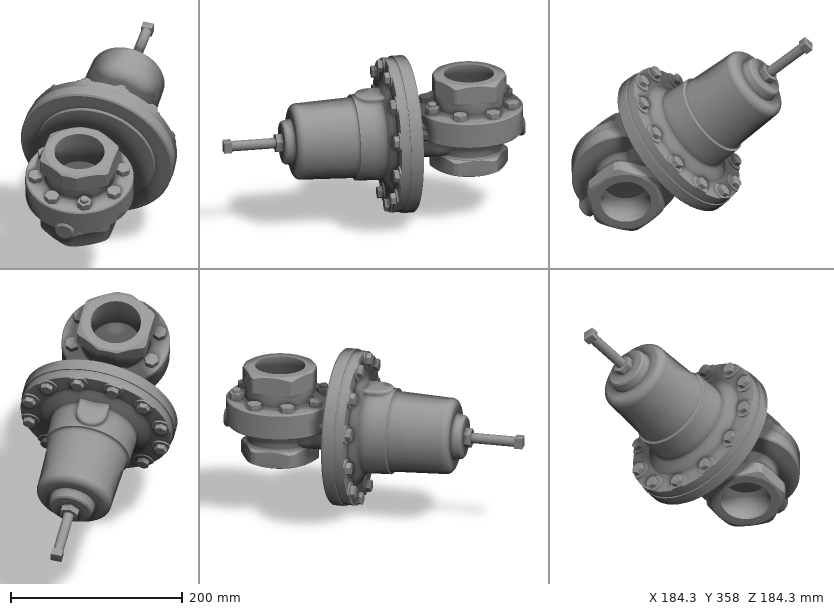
import cadquery as cq
import math


OVERALL_LENGTH = 358.0
BOSS_END_Y = -66.0
STEM_END_Y = BOSS_END_Y + OVERALL_LENGTH

SCREW_DIAMETER = 12.0
SCREW_HEAD_SIDE = 13.0
SCREW_HEAD_LENGTH = 9.3
JAM_NUT_RADIUS = 11.8
JAM_NUT_ANGLE = 7.0
CAP_END_Y = 222.5
JAM_NUT_END_Y = CAP_END_Y + 8.0
CAP_TOP_RADIUS = 25.5
CAP_BASE_RADIUS = 27.5
CAP_EDGE = 1.8
SHOULDER_Y = 211.0
SHOULDER_FLAT_RADIUS = 38.0
CASE_TOP_RADIUS = 44.7
CASE_TOP_Y = 202.0
CASE_BOTTOM_RADIUS = 47.2
SKIRT_Y = 138.0
SKIRT_TOP_RADIUS = 50.5
SKIRT_BOTTOM_RADIUS = 51.5
STEP_BLEND = 2.0
SKIRT_FOOT_Y = 107.0
SKIRT_FILLET = 1.5
SKIRT_FILLET_RADIUS = 2.0
FOOT_RADIUS = 66.5

COVER_FLANGE_RADIUS = 90.5
COVER_FACE_Y = 97.5
FLANGE_SPLIT_Y = 86.2
MAIN_FLANGE_RADIUS = 184.3 / 2
MAIN_FACE_Y = 71.2
MAIN_FLANGE_EDGE = 1.8
RAISED_FACE_RADIUS = 71.5
RAISED_FACE_Y = 68.0
RAISED_FACE_EDGE = 1.0

COVER_BOLT_COUNT = 12
COVER_BOLT_CIRCLE = 82.0
PAD_RADIUS = 11.5
PAD_HEIGHT = 1.8
COVER_BOLT_HEIGHT = 5.7
COVER_BOLT_HEX_RADIUS = 7.5

VENT_HALF_WIDTH = 18.3
VENT_TOP_Z = 54.5
VENT_ARCH_Y = 118.0
VENT_EDGE = 3.5
VENT_FILLET = 1.8

HEX_APOTHEM = 41.5
HEX_END_RADIUS = 39.7
INLET_HEX_TURNED_RADIUS = 47.0
OUTLET_HEX_TURNED_RADIUS = 46.0
HEX_CHAMFER_SLOPE = 0.5
INLET_TOP_Z = 69.8
INLET_HEX_BOTTOM_Z = 48.0
INLET_BACK_FLAT_Y = 41.5
INLET_FRONT_FLAT_Y = -43.0
INLET_NECK_RADIUS = 41.0
OUTLET_BOTTOM_Z = -44.5
OUTLET_HEX_TOP_Z = -23.0
BODY_RADIUS = 38.3
BODY_FLARE = 2.5
BODY_FLANGE_RADIUS = 63.5
BODY_FLANGE_TOP_Z = 31.0
BODY_FLANGE_SPLIT_Z = 19.0
BODY_FLANGE_STEP = 0.5
BODY_FLANGE_BOTTOM_Z = -0.5
BODY_FLANGE_EDGE = 1.5
BODY_FILLET = 1.8

PORT_MOUTH_RADIUS = 29.5
PORT_RADIUS = 29.0
PORT_TAPER_DEPTH = 23.3
PORT_DEPTH = 44.5

BODY_BOLT_COUNT = 8
BODY_BOLT_CIRCLE = 51.5
BODY_BOLT_HEIGHT = 7.0
BODY_BOLT_HEX_RADIUS = 8.5
BODY_NUT_HEIGHT = 8.2
STUD_RADIUS = 5.0
STUD_TOP_Z = 44.0
STUD_CHAMFER = 1.0

BOLT_CHAMFER_SLOPE = 0.6
BOLT_TURN = 15.0

STOP_HALF_WIDTH = 7.5
STOP_TOE_Y = 50.8
STOP_TOP_Y = 40.8
STOP_TOP_Z = 39.5

NECK_HALF_WIDTH = 27.5
NECK_TOP_Z = 21.0
NECK_BOTTOM_Z = -24.5
NECK_TOP_FILLET = 6.5
NECK_BOTTOM_FILLET = 13.2
LEDGE_HALF_WIDTH = 33.0
LEDGE_TOP_Z = 12.5
LEDGE_BEVEL = 3.2

BOSS_RADIUS = 11.5
BOSS_EDGE = 1.8

OVERLAP = 1.5
PICK_MARGIN = 0.18

COS45 = math.cos(math.radians(45))


def hex_prism(corner_radius, height, angle):
    """Hexagonal prism on the XY plane with one corner at the given angle."""
    prism = cq.Workplane("XY").polygon(6, 2 * corner_radius).extrude(height)
    return prism.rotate((0, 0, 0), (0, 0, 1), angle)


def chamfer_cone(flat_radius, outer_radius, slope, height):
    """Cylinder whose top edge is cut back to flat_radius at the given slope."""
    drop = (outer_radius - flat_radius) * slope
    profile = cq.Workplane("XZ").polyline(
        [(0, 0), (outer_radius, 0), (outer_radius, height - drop), (flat_radius, height), (0, height)]
    ).close()
    return profile.revolve(360, (0, 0, 0), (0, 1, 0))


def bolt_head(corner_radius, height, angle):
    """Hex head sunk by OVERLAP below z = 0, with a chamfered top."""
    total = height + OVERLAP
    inscribed = corner_radius * math.cos(math.radians(30))
    envelope = chamfer_cone(inscribed, corner_radius, BOLT_CHAMFER_SLOPE, total)
    head = hex_prism(corner_radius, total, angle).intersect(envelope)
    return head.translate((0, 0, -OVERLAP))


def bolt_angles(count):
    """Evenly spaced angles that straddle the +X direction."""
    step = 360.0 / count
    return [(i + 0.5) * step for i in range(count)]


def on_circle(shape, radius, angle, height):
    """Shift a shape out to radius, turn it to angle and lift it to height."""
    return shape.translate((radius, 0, height)).rotate((0, 0, 0), (0, 0, 1), angle)


def z_to_y(shape):
    """Turn a shape built along +Z so that it lies along +Y."""
    return shape.rotate((0, 0, 0), (1, 0, 0), -90)


def make_actuator():
    """Cap, spring case, skirt and both diaphragm flanges as one turned shape."""
    shoulder_mid = (
        SHOULDER_FLAT_RADIUS + (CASE_TOP_RADIUS - SHOULDER_FLAT_RADIUS) * COS45,
        CASE_TOP_Y + (SHOULDER_Y - CASE_TOP_Y) * COS45,
    )
    step_mid = (
        CASE_BOTTOM_RADIUS + STEP_BLEND * (1 - COS45),
        SKIRT_Y + STEP_BLEND * (1 - COS45),
    )
    profile = (
        cq.Workplane("XY")
        .moveTo(0, RAISED_FACE_Y)
        .lineTo(RAISED_FACE_RADIUS - RAISED_FACE_EDGE, RAISED_FACE_Y)
        .lineTo(RAISED_FACE_RADIUS, RAISED_FACE_Y + RAISED_FACE_EDGE)
        .lineTo(RAISED_FACE_RADIUS, MAIN_FACE_Y)
        .lineTo(MAIN_FLANGE_RADIUS - MAIN_FLANGE_EDGE, MAIN_FACE_Y)
        .lineTo(MAIN_FLANGE_RADIUS, MAIN_FACE_Y + MAIN_FLANGE_EDGE)
        .lineTo(MAIN_FLANGE_RADIUS, FLANGE_SPLIT_Y)
        .lineTo(COVER_FLANGE_RADIUS, FLANGE_SPLIT_Y)
        .lineTo(COVER_FLANGE_RADIUS, COVER_FACE_Y)
        .lineTo(FOOT_RADIUS, COVER_FACE_Y)
        .lineTo(SKIRT_BOTTOM_RADIUS + SKIRT_FILLET, SKIRT_FOOT_Y - SKIRT_FILLET)
        .radiusArc((SKIRT_BOTTOM_RADIUS, SKIRT_FOOT_Y), SKIRT_FILLET_RADIUS)
        .lineTo(SKIRT_TOP_RADIUS, SKIRT_Y)
        .lineTo(CASE_BOTTOM_RADIUS + STEP_BLEND, SKIRT_Y)
        .threePointArc(step_mid, (CASE_BOTTOM_RADIUS, SKIRT_Y + STEP_BLEND))
        .lineTo(CASE_TOP_RADIUS, CASE_TOP_Y)
        .threePointArc(shoulder_mid, (SHOULDER_FLAT_RADIUS, SHOULDER_Y))
        .lineTo(CAP_BASE_RADIUS, SHOULDER_Y)
        .lineTo(CAP_TOP_RADIUS, CAP_END_Y - CAP_EDGE)
        .lineTo(CAP_TOP_RADIUS - CAP_EDGE, CAP_END_Y)
        .lineTo(0, CAP_END_Y)
        .close()
    )
    return profile.revolve(360, (0, 0, 0), (0, 1, 0))


def make_adjusting_screw():
    """Jam nut, round screw and square head at the outer end."""
    start = CAP_END_Y - OVERLAP
    head_start = STEM_END_Y - SCREW_HEAD_LENGTH
    screw = cq.Workplane("XY").circle(SCREW_DIAMETER / 2).extrude(STEM_END_Y - start)
    nut = hex_prism(JAM_NUT_RADIUS, JAM_NUT_END_Y - start, 90 - JAM_NUT_ANGLE)
    head = (
        cq.Workplane("XY", origin=(0, 0, head_start - start))
        .rect(SCREW_HEAD_SIDE, SCREW_HEAD_SIDE)
        .extrude(SCREW_HEAD_LENGTH)
    )
    return z_to_y(screw.union(nut).union(head)).translate((0, start, 0))


def make_cover_bolts():
    """Bolt heads on round pads; the pads are trimmed to the cover flange."""
    pad = cq.Workplane("XY").circle(PAD_RADIUS).extrude(PAD_HEIGHT, both=True)
    pads = cq.Workplane("XY")
    heads = cq.Workplane("XY")
    for angle in bolt_angles(COVER_BOLT_COUNT):
        pads = pads.union(on_circle(pad, COVER_BOLT_CIRCLE, angle, 0))
        head = bolt_head(COVER_BOLT_HEX_RADIUS, COVER_BOLT_HEIGHT, BOLT_TURN)
        heads = heads.union(on_circle(head, COVER_BOLT_CIRCLE, angle, PAD_HEIGHT))
    flange_rim = cq.Workplane("XY").circle(COVER_FLANGE_RADIUS).extrude(PAD_HEIGHT, both=True)
    return z_to_y(pads.intersect(flange_rim).union(heads)).translate((0, COVER_FACE_Y, 0))


def add_vent_pad(actuator):
    """Add a flat-topped arched pad on the +Z side of the skirt, blended into it."""
    pad = (
        cq.Workplane("XY")
        .moveTo(-VENT_HALF_WIDTH, COVER_FACE_Y)
        .lineTo(VENT_HALF_WIDTH, COVER_FACE_Y)
        .lineTo(VENT_HALF_WIDTH, VENT_ARCH_Y)
        .threePointArc((0, VENT_ARCH_Y + VENT_HALF_WIDTH), (-VENT_HALF_WIDTH, VENT_ARCH_Y))
        .close()
        .extrude(VENT_TOP_Z)
    )
    pad = pad.faces(">Z").edges("not <Y").fillet(VENT_EDGE)
    reach = VENT_HALF_WIDTH + PICK_MARGIN
    foot_zone = cq.selectors.BoxSelector(
        (-reach, SKIRT_FOOT_Y - PICK_MARGIN, 0),
        (reach, SKIRT_Y - PICK_MARGIN, VENT_TOP_Z - VENT_EDGE - PICK_MARGIN),
        boundingbox=True,
    )
    return actuator.union(pad).edges(foot_zone).fillet(VENT_FILLET)


def make_port_hex(turned_radius, height):
    """Wrench hexagon on z = 0, flats facing +X and -X, top end chamfered."""
    corner_radius = HEX_APOTHEM / math.cos(math.radians(30))
    envelope = chamfer_cone(HEX_END_RADIUS, turned_radius, HEX_CHAMFER_SLOPE, height)
    return hex_prism(corner_radius, height, 30).intersect(envelope)


def make_inlet_hex():
    """Inlet hexagon with its front and back corners milled flat."""
    height = INLET_TOP_Z - INLET_HEX_BOTTOM_Z
    flats_width = INLET_BACK_FLAT_Y - INLET_FRONT_FLAT_Y
    flats_centre = (INLET_BACK_FLAT_Y + INLET_FRONT_FLAT_Y) / 2
    corner_flats = cq.Workplane("XY").box(2 * HEX_APOTHEM, flats_width, height, centered=(True, True, False))
    corner_flats = corner_flats.translate((0, flats_centre, 0))
    inlet_hex = make_port_hex(INLET_HEX_TURNED_RADIUS, height).intersect(corner_flats)
    return inlet_hex.translate((0, 0, INLET_HEX_BOTTOM_Z))


def make_outlet_hex():
    """Outlet hexagon, chamfered on both ends."""
    height = OUTLET_HEX_TOP_Z - OUTLET_BOTTOM_Z
    upright = make_port_hex(OUTLET_HEX_TURNED_RADIUS, height)
    inverted = upright.rotate((0, 0, 0), (1, 0, 0), 180).translate((0, 0, height))
    return upright.intersect(inverted).translate((0, 0, OUTLET_BOTTOM_Z))


def make_valve_body():
    """Turned body: outlet barrel, bolted flange pair and inlet neck."""
    lower_radius = BODY_FLANGE_RADIUS - BODY_FLANGE_STEP
    profile = (
        cq.Workplane("XZ")
        .moveTo(0, OUTLET_HEX_TOP_Z - OVERLAP)
        .lineTo(BODY_RADIUS + BODY_FLARE, OUTLET_HEX_TOP_Z - OVERLAP)
        .lineTo(BODY_RADIUS + BODY_FLARE, OUTLET_HEX_TOP_Z)
        .radiusArc((BODY_RADIUS, OUTLET_HEX_TOP_Z + BODY_FLARE), BODY_FLARE)
        .lineTo(BODY_RADIUS, BODY_FLANGE_BOTTOM_Z - BODY_FILLET)
        .radiusArc((BODY_RADIUS + BODY_FILLET, BODY_FLANGE_BOTTOM_Z), BODY_FILLET)
        .lineTo(lower_radius - BODY_FLANGE_EDGE, BODY_FLANGE_BOTTOM_Z)
        .lineTo(lower_radius, BODY_FLANGE_BOTTOM_Z + BODY_FLANGE_EDGE)
        .lineTo(lower_radius, BODY_FLANGE_SPLIT_Z)
        .lineTo(BODY_FLANGE_RADIUS, BODY_FLANGE_SPLIT_Z)
        .lineTo(BODY_FLANGE_RADIUS, BODY_FLANGE_TOP_Z - BODY_FLANGE_EDGE)
        .lineTo(BODY_FLANGE_RADIUS - BODY_FLANGE_EDGE, BODY_FLANGE_TOP_Z)
        .lineTo(INLET_NECK_RADIUS + BODY_FILLET, BODY_FLANGE_TOP_Z)
        .radiusArc((INLET_NECK_RADIUS, BODY_FLANGE_TOP_Z + BODY_FILLET), BODY_FILLET)
        .lineTo(INLET_NECK_RADIUS, INLET_HEX_BOTTOM_Z + OVERLAP)
        .lineTo(0, INLET_HEX_BOTTOM_Z + OVERLAP)
        .close()
    )
    return profile.revolve(360, (0, 0, 0), (0, 1, 0))


def make_body_bolts():
    """Bolts around the body flange; two opposite places hold studs and nuts."""
    stud_places = (BODY_BOLT_COUNT // 4, 3 * BODY_BOLT_COUNT // 4)
    fasteners = cq.Workplane("XY")
    for place, angle in enumerate(bolt_angles(BODY_BOLT_COUNT)):
        if place in stud_places:
            stud = cq.Workplane("XY").circle(STUD_RADIUS).extrude(STUD_TOP_Z - BODY_FLANGE_TOP_Z)
            stud = stud.faces(">Z").chamfer(STUD_CHAMFER)
            fastener = bolt_head(BODY_BOLT_HEX_RADIUS, BODY_NUT_HEIGHT, 90 - angle).union(stud)
        else:
            fastener = bolt_head(BODY_BOLT_HEX_RADIUS, BODY_BOLT_HEIGHT, BOLT_TURN)
        fasteners = fasteners.union(on_circle(fastener, BODY_BOLT_CIRCLE, angle, BODY_FLANGE_TOP_Z))
    return fasteners


def make_stop():
    """Small ramp between the body flange and the inlet neck, on the +Y side."""
    base_z = BODY_FLANGE_TOP_Z - OVERLAP
    root_y = STOP_TOP_Y - OVERLAP
    return (
        cq.Workplane("YZ")
        .polyline(
            [(root_y, base_z), (STOP_TOE_Y, base_z), (STOP_TOE_Y, BODY_FLANGE_TOP_Z),
             (STOP_TOP_Y, STOP_TOP_Z), (root_y, STOP_TOP_Z)]
        )
        .close()
        .extrude(STOP_HALF_WIDTH, both=True)
    )


def make_neck():
    """Rounded bar with a wider ledge, running from the valve axis to the actuator."""
    length = RAISED_FACE_Y + OVERLAP
    height = NECK_TOP_Z - NECK_BOTTOM_Z
    bar = cq.Workplane("XY").box(2 * NECK_HALF_WIDTH, length, height, centered=(True, False, False))
    bar = bar.translate((0, 0, NECK_BOTTOM_Z))
    bar = bar.edges("|Y and >Z").fillet(NECK_TOP_FILLET)
    bar = bar.edges("|Y and <Z").fillet(NECK_BOTTOM_FILLET)
    ledge = (
        cq.Workplane("XZ")
        .moveTo(0, 0)
        .lineTo(NECK_HALF_WIDTH, 0)
        .lineTo(LEDGE_HALF_WIDTH, LEDGE_BEVEL)
        .lineTo(LEDGE_HALF_WIDTH, LEDGE_TOP_Z - LEDGE_BEVEL)
        .lineTo(NECK_HALF_WIDTH, LEDGE_TOP_Z)
        .lineTo(0, LEDGE_TOP_Z)
        .mirrorY()
        .extrude(-length)
    )
    return bar.union(ledge)


def make_boss():
    """Round plug boss on the -Y side of the valve body."""
    boss = cq.Workplane("XZ").circle(BOSS_RADIUS).extrude(-BOSS_END_Y)
    return boss.faces("<Y").chamfer(BOSS_EDGE)


def make_port():
    """Blind port cutter opening upward at z = 0: tapered mouth, straight bottom."""
    profile = cq.Workplane("XZ").polyline(
        [(0, 0), (PORT_MOUTH_RADIUS, 0), (PORT_RADIUS, -PORT_TAPER_DEPTH),
         (PORT_RADIUS, -PORT_DEPTH), (0, -PORT_DEPTH)]
    ).close()
    return profile.revolve(360, (0, 0, 0), (0, 1, 0))


inlet_port = make_port().translate((0, 0, INLET_TOP_Z))
outlet_port = make_port().rotate((0, 0, 0), (1, 0, 0), 180).translate((0, 0, OUTLET_BOTTOM_Z))

result = (
    add_vent_pad(make_actuator())
    .union(make_adjusting_screw())
    .union(make_cover_bolts())
    .union(make_valve_body())
    .union(make_inlet_hex())
    .union(make_outlet_hex())
    .union(make_body_bolts())
    .union(make_stop())
    .union(make_neck())
    .union(make_boss())
    .cut(inlet_port)
    .cut(outlet_port)
)